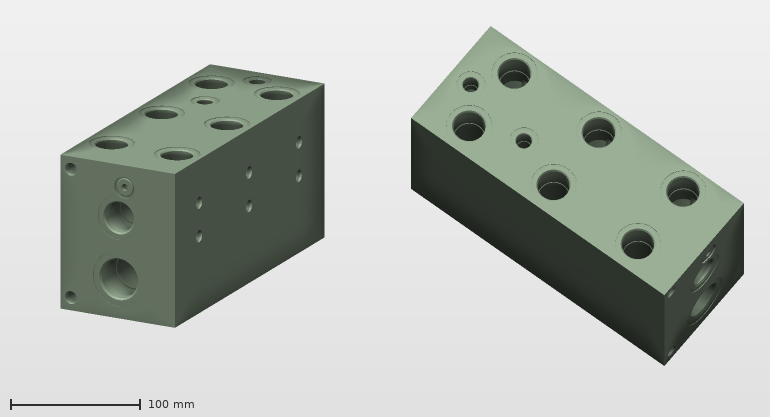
import cadquery as cq
import math

WIDTH = 100.0
LENGTH = 247.6
HEIGHT = 125.3

TIP_ANGLE = 118.0

SPOT_DEPTH = 0.5

PORT_SPOT_DIA = 35.7
PORT_MOUTH_DIA = 26.7
PORT_THREAD_DIA = 24.8
PORT_THREAD_DEPTH = 19.8
PORT_DIA = 23.5
PORT_LEFT_X = -27.7
PORT_RIGHT_X = 29.2
PORT_LEFT_DEPTH = 64.5
PORT_RIGHT_DEPTH = 37.1
PORT_ROWS = 3
PORT_PITCH = 82.5
PORT_FIRST_Y = 43.0

PASSAGE_DIA = 10.0
PASSAGE_OFFSET_Y = -3.0
PASSAGE_RISE = 4.0

GAUGE_SPOT_DIA = 22.5
GAUGE_MOUTH_DIA = 13.4
GAUGE_THREAD_DIA = 12.1
GAUGE_THREAD_DEPTH = 12.5
GAUGE_DIA = 11.0
GAUGE_BACK_X = 1.0
GAUGE_BACK_Y = 228.8
GAUGE_BACK_DEPTH = 19.8
GAUGE_FRONT_X = -12.0
GAUGE_FRONT_Y = 167.0
GAUGE_FRONT_DEPTH = 45.8

BORE_X = 0.7
BORE_THREAD_DEPTH = 24.8
UPPER_BORE_Z = 81.7
UPPER_BORE_DIA = 23.0
UPPER_BORE_THREAD_DIA = 24.3
UPPER_BORE_MOUTH_DIA = 26.7
UPPER_BORE_SPOT_DIA = 35.7
LOWER_BORE_Z = 31.7
LOWER_BORE_DIA = 29.5
LOWER_BORE_THREAD_DIA = 31.2
LOWER_BORE_MOUTH_DIA = 34.0
LOWER_BORE_SPOT_DIA = 44.5

MOUNT_INSET_X = 9.2
MOUNT_X = MOUNT_INSET_X - WIDTH / 2
MOUNT_INSET_Z = 10.5
MOUNT_MOUTH_DIA = 10.5
MOUNT_THREAD_DIA = 9.5
MOUNT_THREAD_DEPTH = 14.9
MOUNT_DIA = 8.7
MOUNT_DEPTH = 19.8

PLUG_X = 6.0
PLUG_Z = 107.2
PLUG_POCKET_DIA = 17.5
PLUG_POCKET_DEPTH = 1.5
PLUG_CHAMFER = 0.5
PLUG_DIA = 14.4
PLUG_RECESS = 0.5
PLUG_LENGTH = 12.5
PLUG_SOCKET_DIA = 5.7
PLUG_SOCKET_DEPTH = 6.2


def tip_height(diameter):
    """Height of the cone left by the drill tip."""
    return diameter / 2 / math.tan(math.radians(TIP_ANGLE / 2))


def drill(diameter, depth):
    """Blind drill along -Z from the origin; depth is that of the full diameter."""
    radius = diameter / 2
    return (
        cq.Workplane("XZ")
        .lineTo(radius, 0)
        .lineTo(radius, -depth)
        .lineTo(0, -depth - tip_height(diameter))
        .close()
        .revolve(360, (0, 0), (0, 1))
    )


def cylinder(diameter, depth):
    """Straight cut along -Z from the origin."""
    return cq.Workplane("XY").circle(diameter / 2).extrude(-depth)


def threaded_mouth(mouth_dia, thread_dia, thread_depth):
    """Straight thread bore with a 45 degree countersink at its mouth."""
    sink_depth = (mouth_dia - thread_dia) / 2
    sink = cq.Solid.makeCone(mouth_dia / 2, thread_dia / 2, sink_depth, dir=cq.Vector(0, 0, -1))
    return cylinder(thread_dia, thread_depth).union(cq.Workplane(sink))


def sealed_mouth(spot_dia, mouth_dia, thread_dia, thread_depth):
    """Threaded mouth that starts at the floor of a shallow round sealing face."""
    thread = threaded_mouth(mouth_dia, thread_dia, thread_depth).translate((0, 0, -SPOT_DEPTH))
    return thread.union(cylinder(spot_dia, SPOT_DEPTH))


def on_top(tool, x, y):
    """Move a cut that points down from the origin onto the top face."""
    return tool.translate((x, y, HEIGHT))


def on_front(tool, x, z):
    """Turn a shape that points down from the origin so that it enters the front face along +Y."""
    return tool.rotate((0, 0, 0), (1, 0, 0), 90).translate((x, 0, z))


def service_port(x, y, depth):
    """Top port with a cross passage that cuts into the +X side of its drill tip."""
    mouth = sealed_mouth(PORT_SPOT_DIA, PORT_MOUTH_DIA, PORT_THREAD_DIA, PORT_THREAD_DEPTH)
    port = on_top(mouth.union(drill(PORT_DIA, depth)), x, y)
    tip_z = HEIGHT - depth - tip_height(PORT_DIA)
    passage = (
        cq.Workplane("YZ", origin=(x, y + PASSAGE_OFFSET_Y, tip_z + PASSAGE_RISE + PASSAGE_DIA / 2))
        .circle(PASSAGE_DIA / 2)
        .extrude(WIDTH / 2 - x)
    )
    return port.union(passage)


def gauge_port(x, y, depth):
    mouth = sealed_mouth(GAUGE_SPOT_DIA, GAUGE_MOUTH_DIA, GAUGE_THREAD_DIA, GAUGE_THREAD_DEPTH)
    return on_top(mouth.union(drill(GAUGE_DIA, depth)), x, y)


def main_bore(z, bore_dia, spot_dia, mouth_dia, thread_dia):
    mouth = sealed_mouth(spot_dia, mouth_dia, thread_dia, BORE_THREAD_DEPTH)
    return on_front(mouth.union(cylinder(bore_dia, LENGTH)), BORE_X, z)


def mounting_hole(z):
    mouth = threaded_mouth(MOUNT_MOUTH_DIA, MOUNT_THREAD_DIA, MOUNT_THREAD_DEPTH)
    return on_front(mouth.union(drill(MOUNT_DIA, MOUNT_DEPTH)), MOUNT_X, z)


def plug_hole():
    """Hole that the plug fills, with a wider pocket around the plug's front end."""
    hole = cylinder(PLUG_DIA, PLUG_RECESS + PLUG_LENGTH)
    return on_front(hole.union(cylinder(PLUG_POCKET_DIA, PLUG_POCKET_DEPTH)), PLUG_X, PLUG_Z)


def make_block():
    block = cq.Workplane("XY").box(WIDTH, LENGTH, HEIGHT, centered=(True, False, False))
    for row in range(PORT_ROWS):
        y = PORT_FIRST_Y + row * PORT_PITCH
        block = block.cut(service_port(PORT_LEFT_X, y, PORT_LEFT_DEPTH))
        block = block.cut(service_port(PORT_RIGHT_X, y, PORT_RIGHT_DEPTH))
    block = block.cut(gauge_port(GAUGE_BACK_X, GAUGE_BACK_Y, GAUGE_BACK_DEPTH))
    block = block.cut(gauge_port(GAUGE_FRONT_X, GAUGE_FRONT_Y, GAUGE_FRONT_DEPTH))
    block = block.cut(
        main_bore(
            UPPER_BORE_Z, UPPER_BORE_DIA, UPPER_BORE_SPOT_DIA, UPPER_BORE_MOUTH_DIA, UPPER_BORE_THREAD_DIA
        )
    )
    block = block.cut(
        main_bore(
            LOWER_BORE_Z, LOWER_BORE_DIA, LOWER_BORE_SPOT_DIA, LOWER_BORE_MOUTH_DIA, LOWER_BORE_THREAD_DIA
        )
    )
    for z in (MOUNT_INSET_Z, HEIGHT - MOUNT_INSET_Z):
        block = block.cut(mounting_hole(z))
    return block.cut(plug_hole())


def make_plug():
    """Round plug with a chamfered front edge and a drilled socket."""
    plug = cylinder(PLUG_DIA, PLUG_LENGTH).faces(">Z").chamfer(PLUG_CHAMFER)
    plug = plug.cut(drill(PLUG_SOCKET_DIA, PLUG_SOCKET_DEPTH)).translate((0, 0, -PLUG_RECESS))
    return on_front(plug, PLUG_X, PLUG_Z)


block = make_block()
plug = make_plug()
result = cq.Compound.makeCompound([block.val(), plug.val()])